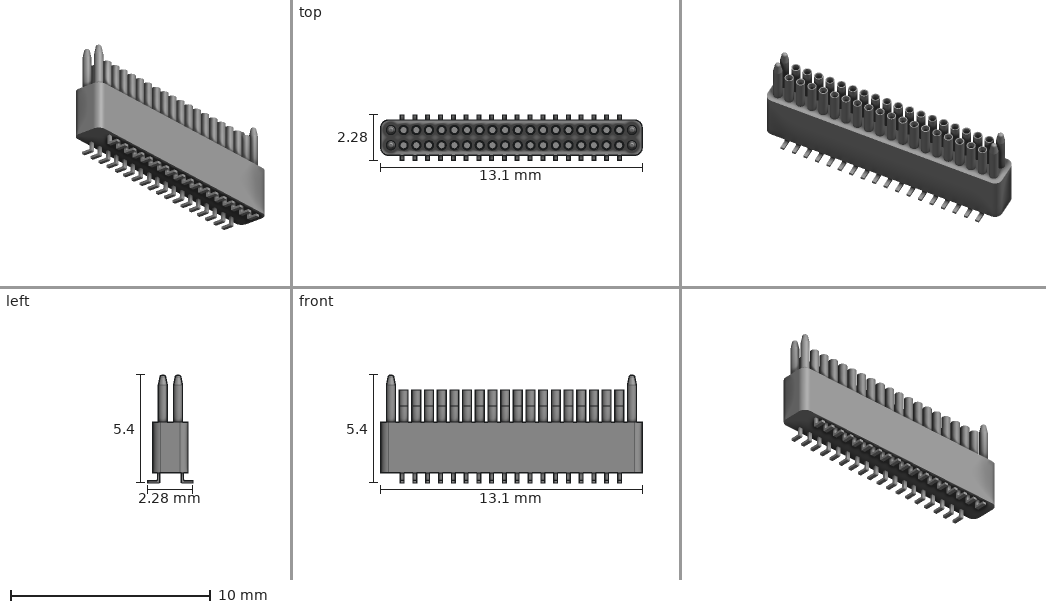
import cadquery as cq

body_length = 13.1
body_width = 1.78
body_height = 2.54
corner_radius = 0.4

contact_pitch = 0.635
row_pitch = 0.762
sockets_per_row = 18
pin_diameter = 0.46
row_positions = (-row_pitch / 2, row_pitch / 2)

socket_height = 1.62
bore_diameter = 0.36
bore_depth = 0.8

guide_height = 2.35
nose_length = 0.5
nose_tip_radius = 0.13
nose_rounding = 0.1
guide_offset = (sockets_per_row + 1) * contact_pitch / 2

leads_per_row = 18
lead_pitch = 0.64
lead_row_shift = -0.03
lead_width = 0.2
lead_thickness = 0.127
lead_drop = 0.51
lead_span = 2.28
lead_inner_offset = 0.53
bend_inner_radius = 0.05
bend_outer_chamfer = 0.04


def spaced(count, pitch):
    """Positions of evenly pitched items centred on zero."""
    return [(i - (count - 1) / 2) * pitch for i in range(count)]


def make_housing():
    block = cq.Workplane("XY").box(body_length, body_width, body_height, centered=(True, True, False))
    return block.edges("|Z").fillet(corner_radius)


def make_sockets():
    centers = [(x, y) for x in spaced(sockets_per_row, contact_pitch) for y in row_positions]
    tubes = cq.Workplane("XY").workplane(offset=body_height).pushPoints(centers)
    tubes = tubes.circle(pin_diameter / 2).extrude(socket_height)
    bore_floor = body_height + socket_height - bore_depth
    bores = cq.Workplane("XY").workplane(offset=bore_floor).pushPoints(centers)
    bores = bores.circle(bore_diameter / 2).extrude(bore_depth)
    return tubes.cut(bores)


def make_guide_pin(x, y):
    radius = pin_diameter / 2
    profile = (
        cq.Workplane("XZ")
        .lineTo(-radius, 0)
        .lineTo(-radius, guide_height - nose_length)
        .lineTo(-nose_tip_radius, guide_height)
        .lineTo(0, guide_height)
        .close()
    )
    pin = profile.revolve(360, (0, 0), (0, 1)).faces(">Z").edges().fillet(nose_rounding)
    return pin.translate((x, y, body_height))


def make_lead():
    """One lead on the +Y side, centred on X = 0."""
    tip = lead_span / 2
    outer = lead_inner_offset + lead_thickness
    foot_top = lead_thickness - lead_drop
    profile = (
        cq.Workplane("YZ")
        .moveTo(lead_inner_offset, 0)
        .lineTo(lead_inner_offset, bend_outer_chamfer - lead_drop)
        .lineTo(lead_inner_offset + bend_outer_chamfer, -lead_drop)
        .lineTo(tip, -lead_drop)
        .lineTo(tip, foot_top)
        .lineTo(outer + bend_inner_radius, foot_top)
        .radiusArc((outer, foot_top + bend_inner_radius), bend_inner_radius)
        .lineTo(outer, 0)
        .close()
    )
    return profile.extrude(lead_width / 2, both=True)


result = make_housing().union(make_sockets())

for guide_x in (-guide_offset, guide_offset):
    for guide_y in row_positions:
        result = result.union(make_guide_pin(guide_x, guide_y))

rear_lead = make_lead()
front_lead = rear_lead.mirror("XZ")
for lead_x in spaced(leads_per_row, lead_pitch):
    for lead in (rear_lead, front_lead):
        result = result.union(lead.translate((lead_x + lead_row_shift, 0, 0)))